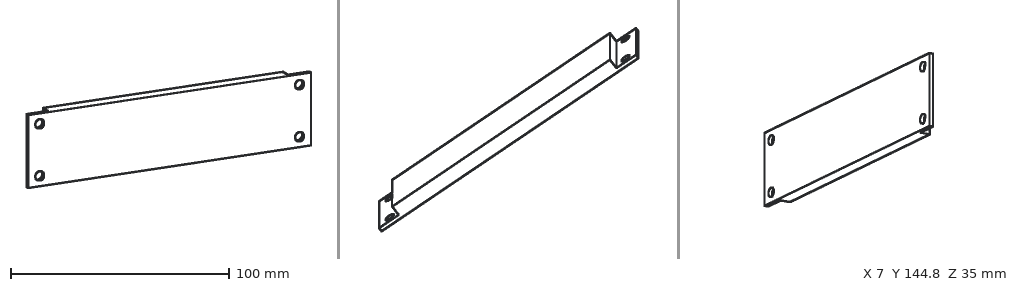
import cadquery as cq

length = 144.8
height = 35.0
total_thickness = 7.0

flange_length = 11.0
flange_thickness = 2.0

hole_diameter = 4.5
hole_spacing_y = 133.0
hole_spacing_z = 25.0

block_length = length - 2 * flange_length
back_x = total_thickness / 2
flange_face_x = back_x - flange_thickness


def make_plate():
    """Thin full-length plate whose ends form the mounting flanges."""
    return cq.Workplane("XY").box(flange_thickness, length, height).translate(
        (back_x - flange_thickness / 2, 0, 0)
    )


def make_block():
    """Thick centre block, flush with the back of the plate."""
    return cq.Workplane("XY").box(total_thickness, block_length, height)


def make_holes():
    """Through-hole cutters running along X across the flanges."""
    return (
        cq.Workplane("YZ", origin=(flange_face_x, 0, 0))
        .rarray(hole_spacing_y, hole_spacing_z, 2, 2)
        .circle(hole_diameter / 2)
        .extrude(flange_thickness)
    )


result = make_plate().union(make_block()).cut(make_holes())